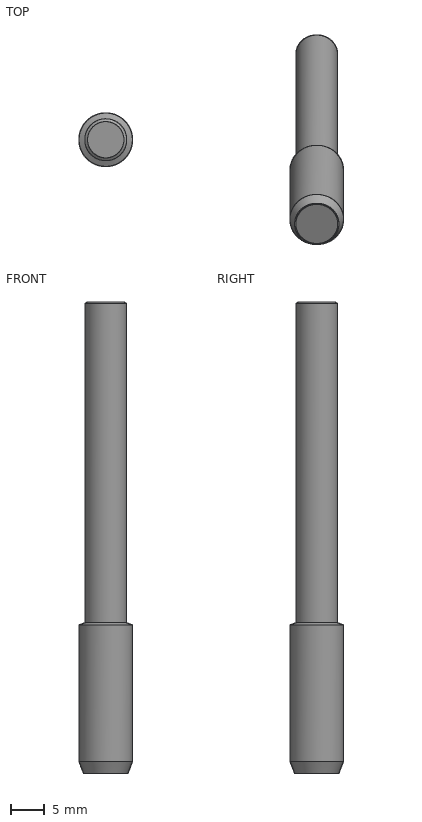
import cadquery as cq

total_length = 70.0

sleeve_diameter = 8.0
sleeve_length = 22.4
sleeve_top_cone_height = 0.35
sleeve_bottom_diameter = 6.6
sleeve_bottom_cone_height = 1.8

pin_diameter = 6.2
pin_tip_diameter = 5.4
pin_tip_cone_height = 0.3


def revolve_about_z(profile_points):
    """Turn a closed (radius, height) outline into a round solid about Z."""
    return cq.Workplane("XZ").polyline(profile_points).close().revolve(360, (0, 0), (0, 1))


def make_sleeve():
    """Collar with a tapered lower end, a coned top and a through bore that fits the pin."""
    bore_radius = pin_diameter / 2
    outer_radius = sleeve_diameter / 2
    return revolve_about_z([
        (bore_radius, 0),
        (sleeve_bottom_diameter / 2, 0),
        (outer_radius, sleeve_bottom_cone_height),
        (outer_radius, sleeve_length - sleeve_top_cone_height),
        (bore_radius, sleeve_length),
    ])


def make_pin():
    """Rod flush with the sleeve's lower end, with a chamfered free tip."""
    pin_radius = pin_diameter / 2
    return revolve_about_z([
        (0, 0),
        (pin_radius, 0),
        (pin_radius, total_length - pin_tip_cone_height),
        (pin_tip_diameter / 2, total_length),
        (0, total_length),
    ])


sleeve = make_sleeve()
pin = make_pin()

result = cq.Compound.makeCompound([sleeve.val(), pin.val()])